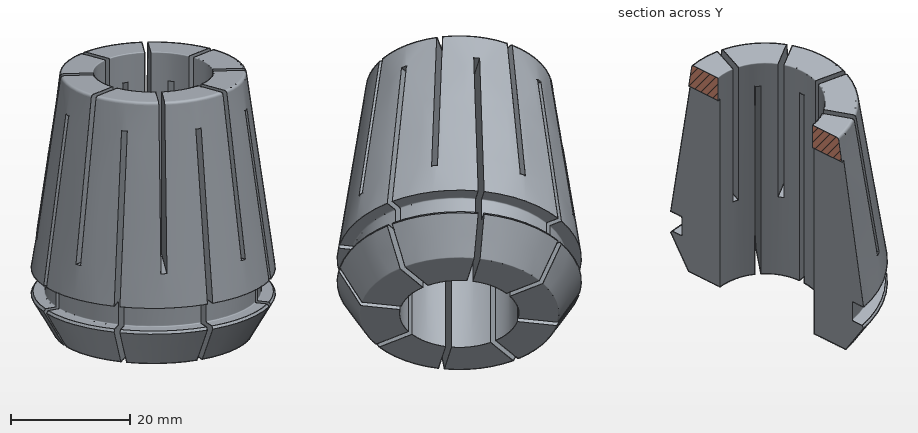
import cadquery as cq
import math

height = 46.0
nose_rim_z = 6.6
groove_bottom_z = 7.05
groove_top_z = 11.2

max_radius = 41.0 / 2
groove_radius = 18.12
bore_radius = 20.0 / 2
body_half_angle = 8.0
nose_half_angle = 30.0

top_rim_fillet = 0.55
small_fillet = 0.2
nose_rim_setback = 0.3

slots_per_end = 8
slot_width = 1.0
lower_slot_top_z = 41.0
upper_slot_bottom_z = 17.0

slot_pitch = 360 / slots_per_end


def cone_inset(axial_length, half_angle):
    """Radius lost by a cone over an axial length."""
    return axial_length * math.tan(math.radians(half_angle))


def collet_body():
    """Double-cone collet with an ejector groove and a through bore."""
    nose_end = (max_radius - cone_inset(nose_rim_z, nose_half_angle), 0)
    groove_root_low = (groove_radius, groove_bottom_z)
    groove_root_high = (groove_radius, groove_top_z)
    top_rim = (max_radius - cone_inset(height - groove_top_z, body_half_angle), height)
    bore_mouth = (bore_radius, height)
    bore_end = (bore_radius, 0)

    section = cq.Sketch().polygon([
        bore_end,
        nose_end,
        (max_radius, nose_rim_z),
        (max_radius - nose_rim_setback, groove_bottom_z),
        groove_root_low,
        groove_root_high,
        (max_radius, groove_top_z),
        top_rim,
        bore_mouth,
        bore_end,
    ])

    fillets = [
        (nose_end, small_fillet),
        (groove_root_low, small_fillet),
        (groove_root_high, small_fillet),
        (top_rim, top_rim_fillet),
        (bore_mouth, small_fillet),
    ]
    for (radius, z), fillet_radius in fillets:
        corner = cq.NearestToPointSelector((radius, z, 0))
        section = section.vertices(corner).fillet(fillet_radius).reset()

    return cq.Workplane("XZ").placeSketch(section).revolve(360, (0, 0, 0), (0, 1, 0))


def radial_slots(bottom_z, top_z, first_angle):
    """Ring of slot cutters that run outward from the axis past the widest radius."""
    slot = cq.Workplane("XY").box(
        2 * max_radius, slot_width, top_z - bottom_z, centered=(False, True, False)
    )
    slot = slot.translate((0, 0, bottom_z))
    cutters = cq.Workplane("XY")
    for index in range(slots_per_end):
        angle = first_angle + index * slot_pitch
        cutters = cutters.add(slot.rotate((0, 0, 0), (0, 0, 1), angle))
    return cutters.combine()


lower_slots = radial_slots(0, lower_slot_top_z, 0)
upper_slots = radial_slots(upper_slot_bottom_z, height, slot_pitch / 2)

result = collet_body().cut(lower_slots).cut(upper_slots)